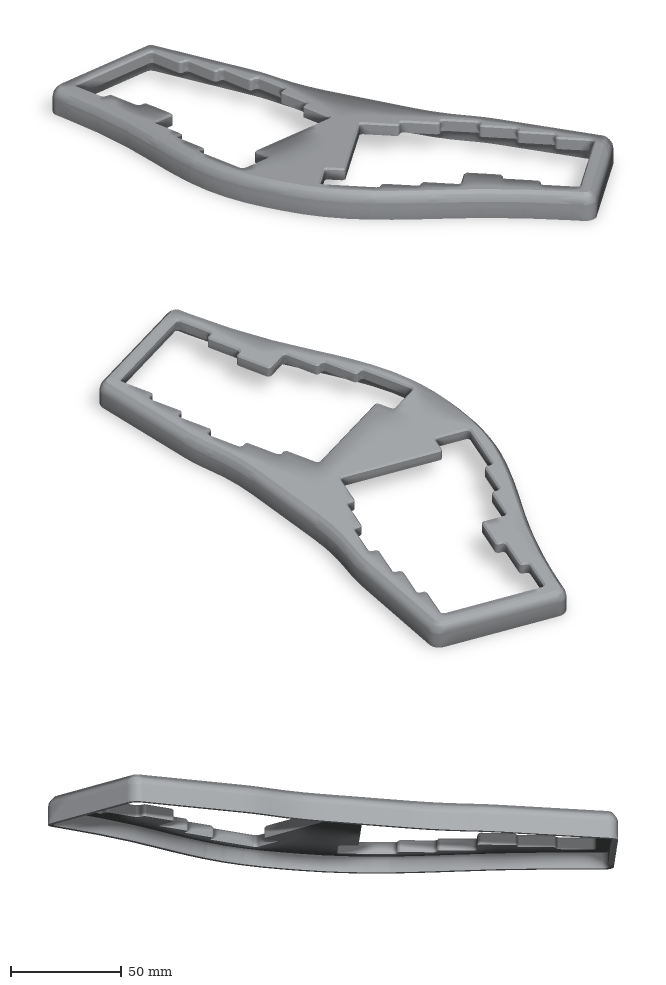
import cadquery as cq
import math

length = 272.0
width = 113.5
height = 13.0

wall = 2.5
plate_thickness = 5.7
rim_chamfer = 3.0
rim_round = 5.0
outer_corner_radius = 5.5
level_tolerance = 0.03

tilt = 18.0
key_pitch_u = 18.0
key_pitch_v = 16.9
column_stagger = key_pitch_v / 4
stagger_steps = [0, 1, 2, 3, 2, 1]
rows_in_column = [3, 3, 3, 4, 4, 4]
field_left = -120.5
first_column_top = 11.5
thumb_overhang = 9.2
opening_corner_radius = 1.5
opening_chamfer = 0.8

front_y = -width / 2
front_flat_half = 3.8
front_arcs = [(102.2, 24.0), (246.0, 30.5), (285.5, tilt)]
rear_y = 46.5
rear_flat_half = 21.5
rear_arcs = [(104.0, 14.6), (87.3, 5.0)]

tilt_cos = math.cos(math.radians(tilt))
tilt_sin = math.sin(math.radians(tilt))


def arc_points(start, start_slope, radius, end_slope):
    """Middle and end of an arc that climbs towards -X from its start."""
    first = math.radians(start_slope)
    signed_radius = math.copysign(radius, end_slope - start_slope)

    def point_at(slope):
        angle = math.radians(slope)
        run = signed_radius * (math.sin(angle) - math.sin(first))
        rise = signed_radius * (math.cos(first) - math.cos(angle))
        return (start[0] - run, start[1] + rise)

    return point_at((start_slope + end_slope) / 2), point_at(end_slope)


def arc_chain(start, arcs):
    """Points of smoothly joined arcs, as (start, middle, end) triples."""
    chain = []
    slope = 0.0
    for radius, end_slope in arcs:
        middle, end = arc_points(start, slope, radius, end_slope)
        chain.append((start, middle, end))
        start = end
        slope = end_slope
    return chain


def end_side_u(front_end):
    """Place of the straight end side, so that its rounded front corner just reaches the full length."""
    front_run_v = front_end[0] * tilt_sin + front_end[1] * tilt_cos
    round_x = -length / 2 + outer_corner_radius
    round_v = front_run_v + outer_corner_radius
    return (round_x - round_v * tilt_sin) / tilt_cos - outer_corner_radius


def meet_end_side(point, slope, side_u):
    """Where the straight run that climbs from the point towards -X meets the end side."""
    gradient = math.tan(math.radians(slope))
    x = (side_u + (point[1] + gradient * point[0]) * tilt_sin) / (tilt_cos + gradient * tilt_sin)
    return (x, point[1] - gradient * (x - point[0]))


front_chain = arc_chain((-front_flat_half, front_y), front_arcs)
rear_chain = arc_chain((-rear_flat_half, rear_y), rear_arcs)
front_end = front_chain[-1][2]
rear_end = rear_chain[-1][2]
side_u = end_side_u(front_end)
front_corner = meet_end_side(front_end, front_arcs[-1][1], side_u)
rear_corner = meet_end_side(rear_end, rear_arcs[-1][1], side_u)


def outline_wire():
    """Closed outline of the case, symmetric about X = 0, with sharp corners."""
    edges = []
    for side in (1, -1):

        def place(point):
            return cq.Vector(side * point[0], point[1], 0)

        for start, middle, end in front_chain + rear_chain:
            edges.append(cq.Edge.makeThreePointArc(place(start), place(middle), place(end)))
        for start, end in (
            (front_end, front_corner),
            (front_corner, rear_corner),
            (rear_corner, rear_end),
        ):
            edges.append(cq.Edge.makeLine(place(start), place(end)))
    for flat_half, y in ((front_flat_half, front_y), (rear_flat_half, rear_y)):
        edges.append(cq.Edge.makeLine(cq.Vector(-flat_half, y, 0), cq.Vector(flat_half, y, 0)))
    return cq.Wire.assembleEdges(edges)


def case_blank():
    """Solid slab with rounded outer corners."""
    slab = cq.Workplane("XY").newObject([outline_wire()]).toPending().extrude(height)
    corner_edges = []
    for side in (1, -1):
        for x, y in (front_corner, rear_corner):
            nearest = cq.NearestToPointSelector((side * x, y, height / 2))
            corner_edges.append(slab.edges(nearest).val())
    return slab.newObject(corner_edges).fillet(outer_corner_radius)


def soften_rim(slab):
    """Chamfer the top rim and round the edge where the chamfer meets the sides."""
    chamfered = slab.faces(">Z").edges().chamfer(rim_chamfer)
    rim_level = height - rim_chamfer
    below = rim_level - level_tolerance
    above = rim_level + level_tolerance
    rim_band = cq.selectors.BoxSelector((-length, -width, below), (length, width, above))
    rim_edges = chamfered.edges(rim_band)
    return rim_edges.fillet(rim_round)


def key_block(left, top, across, down):
    return cq.Workplane("XY").box(across, down, height, centered=False).translate((left, top - down, 0))


def key_opening():
    """Cutter for the left key field: one block per column, joined and turned into place."""
    cutter = cq.Workplane("XY")
    for column, (steps, rows) in enumerate(zip(stagger_steps, rows_in_column)):
        left = field_left + column * key_pitch_u
        top = first_column_top + steps * column_stagger
        cutter = cutter.add(key_block(left, top, key_pitch_u, rows * key_pitch_v))
    thumb_top = top - (rows - 1) * key_pitch_v
    cutter = cutter.add(key_block(left, thumb_top, key_pitch_u + thumb_overhang, key_pitch_v))
    cutter = cutter.combine()
    cutter = cutter.edges("|Z").fillet(opening_corner_radius)
    return cutter.rotate((0, 0, 0), (0, 0, 1), -tilt)


def underside_cavity(slab):
    """Hollow that leaves the side wall and the top plate."""
    base_outline = slab.faces("<Z").wires().toPending()
    return base_outline.offset2D(-wall).extrude(height - plate_thickness, combine=False)


def build_case():
    blank = case_blank()
    cavity = underside_cavity(blank)
    opening = key_opening()
    case = soften_rim(blank).cut(cavity).cut(opening).cut(opening.mirror("YZ"))
    opening_edges = [edge for wire in case.faces(">Z").val().innerWires() for edge in wire.Edges()]
    return case.newObject(opening_edges).chamfer(opening_chamfer)


result = build_case()